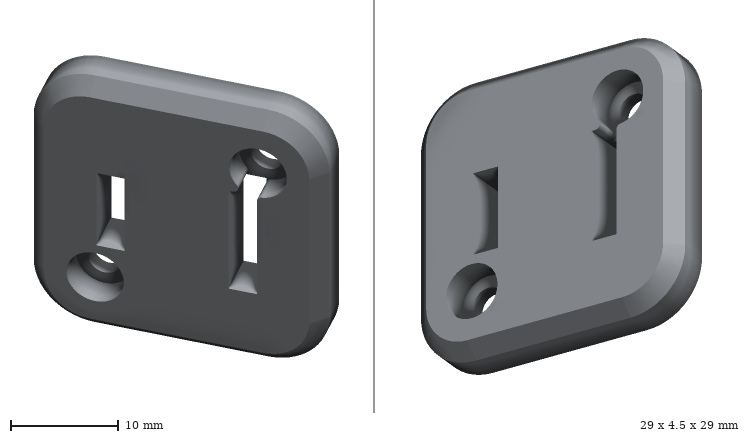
import cadquery as cq

SIDE = 29.0
THICKNESS = 4.5
CORNER_RADIUS = 6.0
FRONT_CHAMFER = 1.5

HOLE_OFFSET = 8.0
HOLE_DIAMETER = 3.2
COUNTERBORE_DIAMETER = 5.65
COUNTERBORE_DEPTH = 2.95

SLOT_WIDTH = 2.75
SLOT_OFFSET = 6.5
SHORT_SLOT_HEIGHT = 8.5
LONG_SLOT_HEIGHT = 11.5
LONG_SLOT_CENTER_Z = -0.5

JUNCTION_RADIUS = 0.5

FRONT_Y = -THICKNESS / 2
BACK_Y = THICKNESS / 2
LOWER_HOLE = (-HOLE_OFFSET, -HOLE_OFFSET)
UPPER_HOLE = (HOLE_OFFSET, HOLE_OFFSET)


def plane_at(y):
    """Sketch plane parallel to XZ at the given Y; extrusion runs toward -Y."""
    return cq.Workplane("XZ", origin=(0, y, 0))


def make_plate():
    """Rounded square plate with its front rim chamfered."""
    plate = plane_at(BACK_Y).rect(SIDE, SIDE).extrude(THICKNESS)
    plate = plate.edges("|Y").fillet(CORNER_RADIUS)
    return plate.faces("<Y").edges().chamfer(FRONT_CHAMFER)


def front_cylinder(center, diameter, depth):
    """Round cutter reaching from the front face to the given depth."""
    return plane_at(FRONT_Y + depth).center(*center).circle(diameter / 2).extrude(depth)


def front_slot(center, height, depth):
    """Rectangular cutter reaching from the front face to the given depth."""
    return plane_at(FRONT_Y + depth).center(*center).rect(SLOT_WIDTH, height).extrude(depth)


def make_joined_pocket():
    """Upper counterbore merged with the long slot, with both junction corners rounded."""
    counterbore = front_cylinder(UPPER_HOLE, COUNTERBORE_DIAMETER, COUNTERBORE_DEPTH)
    slot = front_slot((SLOT_OFFSET, LONG_SLOT_CENTER_Z), LONG_SLOT_HEIGHT, COUNTERBORE_DEPTH)
    slot_top = LONG_SLOT_CENTER_Z + LONG_SLOT_HEIGHT / 2
    junction_edges = cq.selectors.BoxSelector(
        (SLOT_OFFSET, FRONT_Y, slot_top - JUNCTION_RADIUS),
        (HOLE_OFFSET, BACK_Y, slot_top + JUNCTION_RADIUS),
    )
    return counterbore.union(slot).edges("|Y").edges(junction_edges).fillet(JUNCTION_RADIUS)


result = make_plate()
for hole in (LOWER_HOLE, UPPER_HOLE):
    result = result.cut(front_cylinder(hole, HOLE_DIAMETER, THICKNESS))
result = result.cut(front_cylinder(LOWER_HOLE, COUNTERBORE_DIAMETER, COUNTERBORE_DEPTH))
result = result.cut(front_slot((-SLOT_OFFSET, 0), SHORT_SLOT_HEIGHT, THICKNESS))
result = result.cut(front_slot((SLOT_OFFSET, LONG_SLOT_CENTER_Z), LONG_SLOT_HEIGHT, THICKNESS))
result = result.cut(make_joined_pocket())